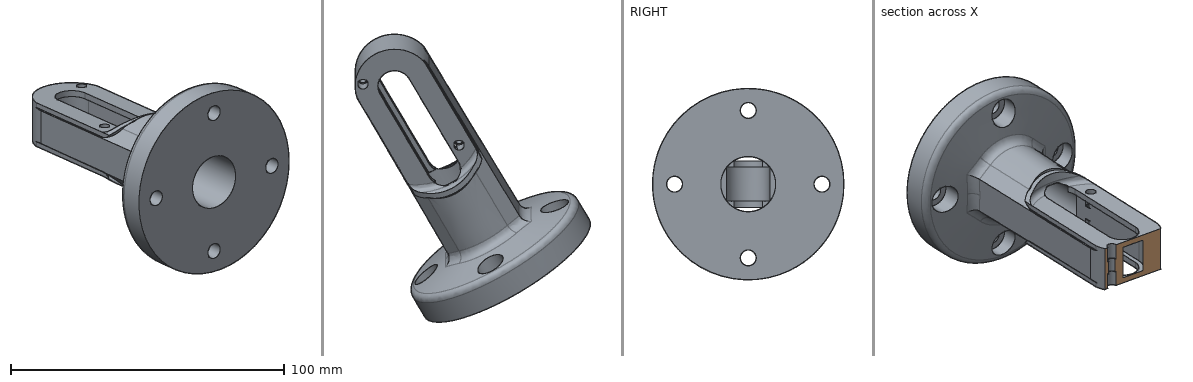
import cadquery as cq
import math

LENGTH = 98.5

FLANGE_RADIUS = 35.1
FLANGE_CONE_END_X = 87.6
FLANGE_CONE_SLOPE = 10.8
FLANGE_EDGE_FILLET = 2.7

FIXING_COUNT = 4
FIXING_CIRCLE_RADIUS = 27.0
FIXING_HOLE_DIAMETER = 5.7
FIXING_HEAD_DIAMETER = 10.5
FIXING_SEAT_THICKNESS = 6.0
FIXING_HEAD_ROOM = 19.7

NECK_TIP_RADIUS = 14.4
NECK_BASE_RADIUS = 15.1
NECK_LENGTH = 88.65
NECK_FLAT_RATIO = 0.44
NECK_FILLET = 3.6

ARM_TIP_RADIUS = 14.5
ARM_HALF_WIDTH = 14.2
ARM_HALF_HEIGHT = 8.6

COLLAR_HEIGHT = 14.1
COLLAR_END_X = 63.0

RECESS_AXIS_X = 29.8
RECESS_TOP_Z = 19.7
SHOULDER_FLOOR_Z = 6.7
SHOULDER_FLOOR_RADIUS = 25.0
SHOULDER_WALL_Z = 11.3
SHOULDER_WALL_RADIUS = 29.1
SHOULDER_RIM_RADIUS = 29.6
POCKET_FLOOR_RADIUS = 24.6
POCKET_WALL_Z = 10.9
POCKET_WALL_RADIUS = 26.9
POCKET_RIM_RADIUS = 27.6

BORE_RADIUS = 10.0
CAVITY_END_X = 52.4
BORE_FULL_X = 54.2
CAVITY_HALF_WIDTH = 7.9
CAVITY_HALF_HEIGHT = math.sqrt(BORE_RADIUS**2 - CAVITY_HALF_WIDTH**2)
SLOT_HALF_WIDTH = 6.1
SLOT_END_X = 57.1

ARM_HOLE_CENTERS = [(8.0, 9.7), (45.8, -9.5)]
ARM_HOLE_DIAMETER = 2.9
ARM_HOLE_MOUTH_DIAMETER = 3.7
ARM_HOLE_MOUTH_DEPTH = 5.9

ENVELOPE = 78.8


def edges_near(body, x, margin, reach):
    """Edges whose centre lies within margin of an X position and within reach of the X axis."""
    low_corner = (x - margin, -reach, -reach)
    high_corner = (x + margin, reach, reach)
    return body.edges(cq.selectors.BoxSelector(low_corner, high_corner))


def fixing_cylinders(back_x, diameter, depth):
    """One cylinder per fixing hole, running forward from back_x."""
    return (
        cq.Workplane("YZ", origin=(back_x, 0, 0))
        .polarArray(FIXING_CIRCLE_RADIUS, 0, 360, FIXING_COUNT)
        .circle(diameter / 2)
        .extrude(-depth)
    )


def cone_x(radius):
    """Position of the flange cone at a distance from the X axis."""
    return FLANGE_CONE_END_X - (FLANGE_RADIUS - radius) * math.tan(math.radians(FLANGE_CONE_SLOPE))


def flange():
    disc = (
        cq.Workplane("XY")
        .moveTo(cone_x(0), 0)
        .lineTo(FLANGE_CONE_END_X, FLANGE_RADIUS)
        .lineTo(LENGTH, FLANGE_RADIUS)
        .lineTo(LENGTH, 0)
        .close()
        .revolve(360, (0, 0, 0), (1, 0, 0))
    )
    rim = edges_near(disc, FLANGE_CONE_END_X, FLANGE_EDGE_FILLET / 2, FLANGE_RADIUS)
    disc = rim.fillet(FLANGE_EDGE_FILLET)
    seat_x = LENGTH - FIXING_SEAT_THICKNESS
    disc = disc.cut(fixing_cylinders(LENGTH, FIXING_HOLE_DIAMETER, FIXING_SEAT_THICKNESS))
    return disc.cut(fixing_cylinders(seat_x, FIXING_HEAD_DIAMETER, FIXING_HEAD_ROOM))


def neck_section(x, radius):
    """Closed outline across X: top and bottom arcs, tangent bevels and side flats."""
    flat_z = NECK_FLAT_RATIO * radius
    arc_end_angle = 2 * math.atan(NECK_FLAT_RATIO)
    arc_y = radius * math.cos(arc_end_angle)
    arc_z = radius * math.sin(arc_end_angle)
    return (
        cq.Workplane("YZ", origin=(x, 0, 0))
        .moveTo(radius, -flat_z)
        .lineTo(radius, flat_z)
        .lineTo(arc_y, arc_z)
        .threePointArc((0, radius), (-arc_y, arc_z))
        .lineTo(-radius, flat_z)
        .lineTo(-radius, -flat_z)
        .lineTo(-arc_y, -arc_z)
        .threePointArc((0, -radius), (arc_y, -arc_z))
        .close()
        .wire()
        .val()
    )


def neck():
    tip = neck_section(0, NECK_TIP_RADIUS)
    base = neck_section(NECK_LENGTH, NECK_BASE_RADIUS)
    return cq.Workplane(cq.Solid.makeLoft([tip, base], True))


def collar():
    """Bar as wide as the arm, with an arched crown above and below."""
    return (
        cq.Workplane("YZ")
        .moveTo(ARM_HALF_WIDTH, -ARM_HALF_HEIGHT)
        .lineTo(ARM_HALF_WIDTH, ARM_HALF_HEIGHT)
        .threePointArc((0, COLLAR_HEIGHT), (-ARM_HALF_WIDTH, ARM_HALF_HEIGHT))
        .lineTo(-ARM_HALF_WIDTH, -ARM_HALF_HEIGHT)
        .threePointArc((0, -COLLAR_HEIGHT), (ARM_HALF_WIDTH, -ARM_HALF_HEIGHT))
        .close()
        .extrude(COLLAR_END_X)
    )


def recess(floor_z, floor_radius, wall_z, wall_radius, rim_radius):
    """Matching cutters above and below the arm, open towards the tip."""
    wall_slope = (rim_radius - wall_radius) / (COLLAR_HEIGHT - wall_z)
    top_radius = wall_radius + wall_slope * (RECESS_TOP_Z - wall_z)
    turned = (
        cq.Workplane("XZ")
        .moveTo(0, floor_z)
        .lineTo(floor_radius, floor_z)
        .tangentArcPoint((wall_radius, wall_z), relative=False)
        .lineTo(top_radius, RECESS_TOP_Z)
        .lineTo(0, RECESS_TOP_Z)
        .close()
        .revolve(360, (0, 0, 0), (0, 1, 0))
    )
    open_end = (
        cq.Workplane("XY", origin=(0, 0, floor_z))
        .box(ENVELOPE, ENVELOPE, RECESS_TOP_Z - floor_z, centered=(True, True, False))
        .translate((-ENVELOPE / 2, 0, 0))
    )
    upper = turned.union(open_end).translate((RECESS_AXIS_X, 0, 0))
    return upper.union(upper.mirror("XY"))


def round_nosed_bar(nose_radius, half_width, end_x, half_height):
    """Bar along X whose round nose is centred on the arm tip radius."""
    nose = cq.Workplane("XY").circle(nose_radius).extrude(half_height, both=True)
    shank = cq.Workplane("XY").box(
        end_x - ARM_TIP_RADIUS, 2 * half_width, 2 * half_height, centered=(False, True, True)
    )
    return nose.union(shank).translate((ARM_TIP_RADIUS, 0, 0))


def interior():
    """Axial bore, the narrower cavity ahead of it and the slot open above and below."""
    bore = (
        cq.Workplane("YZ", origin=(CAVITY_END_X, 0, 0))
        .circle(BORE_RADIUS)
        .extrude(LENGTH - CAVITY_END_X)
    )
    low_entry = cq.Workplane("XY").box(
        BORE_FULL_X, ENVELOPE, 2 * CAVITY_HALF_HEIGHT, centered=(False, True, True)
    )
    full_height = cq.Workplane("XY", origin=(BORE_FULL_X, 0, 0)).box(
        LENGTH, ENVELOPE, ENVELOPE, centered=(False, True, True)
    )
    bore = bore.intersect(low_entry.union(full_height))
    cavity = round_nosed_bar(CAVITY_HALF_WIDTH, CAVITY_HALF_WIDTH, CAVITY_END_X, CAVITY_HALF_HEIGHT)
    slot_start_x = ARM_TIP_RADIUS - SLOT_HALF_WIDTH
    slot = (
        cq.Workplane("XY")
        .center((slot_start_x + SLOT_END_X) / 2, 0)
        .slot2D(SLOT_END_X - slot_start_x, 2 * SLOT_HALF_WIDTH)
        .extrude(BORE_RADIUS, both=True)
    )
    return bore.union(cavity).union(slot)


def arm_holes():
    shank = (
        cq.Workplane("XY")
        .pushPoints(ARM_HOLE_CENTERS)
        .circle(ARM_HOLE_DIAMETER / 2)
        .extrude(ARM_HALF_HEIGHT, both=True)
    )
    mouth = (
        cq.Workplane("XY", origin=(0, 0, ARM_HALF_HEIGHT))
        .pushPoints(ARM_HOLE_CENTERS)
        .circle(ARM_HOLE_MOUTH_DIAMETER / 2)
        .extrude(-ARM_HOLE_MOUTH_DEPTH)
    )
    return shank.union(mouth).union(mouth.mirror("XY"))


body = flange().union(neck())
root = edges_near(body, cone_x(NECK_BASE_RADIUS), NECK_FILLET / 2, NECK_BASE_RADIUS + NECK_FILLET)
body = root.fillet(NECK_FILLET)

shoulder = recess(
    SHOULDER_FLOOR_Z, SHOULDER_FLOOR_RADIUS, SHOULDER_WALL_Z, SHOULDER_WALL_RADIUS, SHOULDER_RIM_RADIUS
)
pocket = recess(ARM_HALF_HEIGHT, POCKET_FLOOR_RADIUS, POCKET_WALL_Z, POCKET_WALL_RADIUS, POCKET_RIM_RADIUS)
body = body.cut(shoulder).union(collar().intersect(shoulder).cut(pocket))

body = body.intersect(round_nosed_bar(ARM_TIP_RADIUS, ENVELOPE / 2, LENGTH, ENVELOPE / 2))
result = body.cut(interior()).cut(arm_holes())